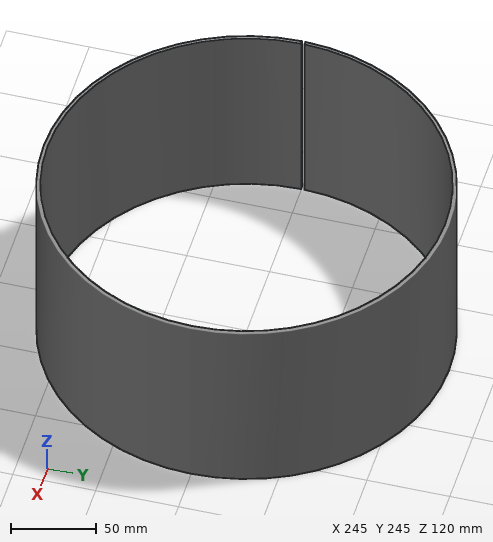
import cadquery as cq

outer_diameter = 245.0
wall = 2.5
height = 120.0
gap_width = 2.0
edge_round = 0.5

outer_radius = outer_diameter / 2
inner_radius = outer_radius - wall

band = cq.Workplane("XY").circle(outer_radius).circle(inner_radius).extrude(height)

gap_cutter = cq.Workplane("XY").box(
    outer_diameter, gap_width, height, centered=(False, False, False)
).translate((-outer_diameter, 0, 0))

split_band = band.cut(gap_cutter)

result = split_band.faces("<Z or >Z").edges(cq.selectors.RadiusNthSelector(-1)).fillet(edge_round)